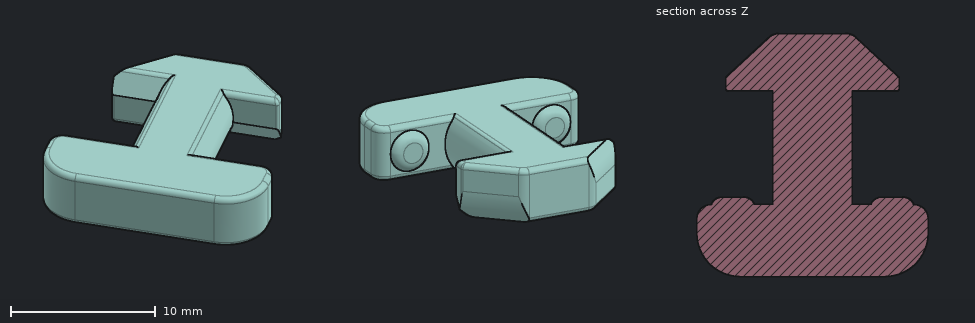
import cadquery as cq
import math

length = 16.8
width = 16.0
thickness = 4.0
edge_radius = 0.4

base_depth = 5.0
base_outer_radius = 3.0
base_inner_radius = 1.0

stem_radius = 2.75

hook_depth = 4.0
hook_half_width = 6.0
hook_tip_half_width = 2.7
hook_side_depth = 0.95
hook_tip_radius = 1.0
hook_side_radius = 0.2
bevel_depth = 1.0
bevel_height = 1.65

bump_offset = 5.5
bump_radius = 1.5
bump_height = 0.5
bump_top_radius = 0.8

half_thickness = thickness / 2
hook_back = length - hook_depth


def make_base():
    """Bar with two large outer corners, two small inner corners and rounded rims."""
    bar = cq.Workplane("XY").box(width, base_depth, thickness).translate((0, base_depth / 2, 0))
    bar = bar.edges("|Z and <Y").fillet(base_outer_radius)
    bar = bar.edges("|Z and >Y").fillet(base_inner_radius)
    return bar.faces("<Z or >Z").edges().fillet(edge_radius)


def make_stem():
    """Round bar with flats top and bottom, reaching into the base and the hook."""
    start = base_depth / 2
    end = hook_back + hook_depth / 2
    flat_half_width = math.sqrt(stem_radius**2 - half_thickness**2)
    profile = (
        cq.Workplane("XZ", origin=(0, start, 0))
        .moveTo(-flat_half_width, half_thickness)
        .lineTo(flat_half_width, half_thickness)
        .threePointArc((stem_radius, 0), (flat_half_width, -half_thickness))
        .lineTo(-flat_half_width, -half_thickness)
        .threePointArc((-stem_radius, 0), (-flat_half_width, half_thickness))
        .close()
    )
    return profile.extrude(start - end).edges("|Y").fillet(edge_radius)


def make_bevel_limit():
    """Block spanning the -X arm, its back face bevelled at the top with a rounded upper edge."""
    block = (
        cq.Workplane("YZ")
        .moveTo(hook_back, -half_thickness)
        .lineTo(length, -half_thickness)
        .lineTo(length, half_thickness)
        .lineTo(hook_back + bevel_depth, half_thickness)
        .lineTo(hook_back, half_thickness - bevel_height)
        .close()
        .extrude(-hook_half_width)
    )
    upper_edge = cq.selectors.NearestToPointSelector(
        (-hook_half_width / 2, hook_back + bevel_depth, half_thickness)
    )
    return block.edges(upper_edge).fillet(edge_radius)


def make_flank_limit():
    """Block along the slanted flank of the -X arm, its upper half curving inward to the top."""
    shoulder = hook_back + hook_side_depth
    run = hook_half_width - hook_tip_half_width
    rise = length - shoulder
    outward = cq.Vector(-rise, run, 0).normalized()
    along = cq.Vector(run, rise, 0)
    curve_radius = (half_thickness**2 + edge_radius**2) / (2 * edge_radius)
    mid_angle = math.asin(half_thickness / curve_radius) / 2
    arc_mid = (
        -curve_radius * (1 - math.cos(mid_angle)),
        curve_radius * math.sin(mid_angle),
    )
    start = cq.Vector(-hook_half_width, shoulder, 0) - along
    section = cq.Plane(origin=start, xDir=outward, normal=outward.cross(cq.Vector(0, 0, 1)))
    return (
        cq.Workplane(section)
        .moveTo(0, -half_thickness)
        .lineTo(0, 0)
        .threePointArc(arc_mid, (-edge_radius, half_thickness))
        .lineTo(-width, half_thickness)
        .lineTo(-width, -half_thickness)
        .close()
        .extrude(3 * along.Length)
    )


def make_hook():
    """Arrow-shaped head whose arms match after a half turn about Y."""
    shoulder = hook_back + hook_side_depth
    head = (
        cq.Workplane("XY", origin=(0, 0, -half_thickness))
        .moveTo(-hook_half_width, hook_back)
        .lineTo(hook_half_width, hook_back)
        .lineTo(hook_half_width, shoulder)
        .lineTo(hook_tip_half_width, length)
        .lineTo(-hook_tip_half_width, length)
        .lineTo(-hook_half_width, shoulder)
        .close()
        .extrude(thickness)
    )
    head = head.edges("|Z and >Y").fillet(hook_tip_radius)
    head = head.edges("|Z and (>X or <X)").fillet(hook_side_radius)
    head = head.faces("<Z or >Z").edges().fillet(edge_radius)
    arm = head.intersect(make_bevel_limit()).intersect(make_flank_limit())
    return arm.union(arm.rotate((0, 0, 0), (0, 1, 0), 180))


def make_bump(x):
    """Low round button on the inner face of the base."""
    rim_run = math.sqrt(bump_top_radius**2 - (bump_top_radius - bump_height) ** 2)
    flat_radius = bump_radius - rim_run
    top = base_depth + bump_height
    root = base_depth - edge_radius
    mid_angle = math.atan2(rim_run, bump_top_radius - bump_height) / 2
    arc_mid = (
        flat_radius + bump_top_radius * math.sin(mid_angle),
        top - bump_top_radius * (1 - math.cos(mid_angle)),
    )
    profile = (
        cq.Workplane("XY")
        .moveTo(0, root)
        .lineTo(bump_radius, root)
        .lineTo(bump_radius, base_depth)
        .threePointArc(arc_mid, (flat_radius, top))
        .lineTo(0, top)
        .close()
    )
    return profile.revolve(360, (0, 0, 0), (0, 1, 0)).translate((x, 0, 0))


result = make_base().union(make_stem()).union(make_hook())
for bump_x in (-bump_offset, bump_offset):
    result = result.union(make_bump(bump_x))